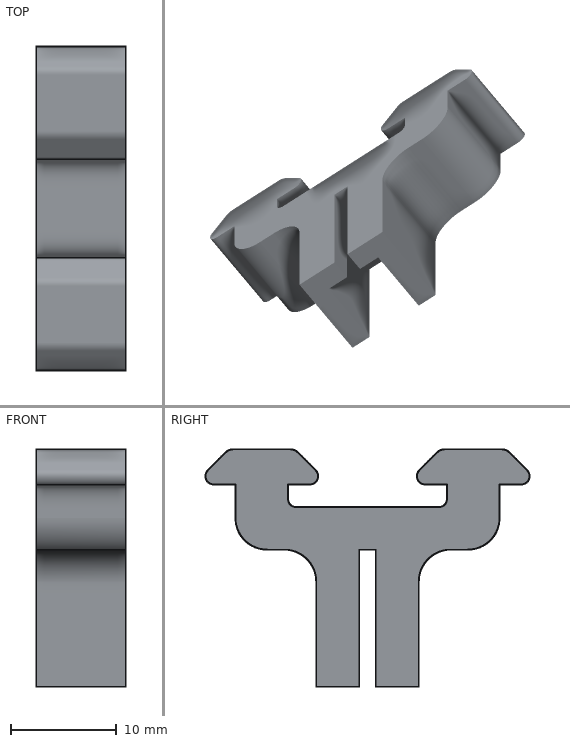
import cadquery as cq
import math

depth = 8.5
width = 30.7
height = 22.5

head_width = 10.7
head_height = 3.35
head_tip_radius = 0.8
head_top_radius = 1.0
head_offset = (width - head_width) / 2

stem_width = 5.0
bridge_top_drop = 5.47
bridge_bottom_drop = 9.52
bridge_top_radius = 0.75
bend_radius = 3.0

legs_outer_width = 9.75
legs_gap = 5.8
rib_gap = 1.55
rib_depth = 2.0

bridge_width = 2 * head_offset + stem_width
bridge_bottom = height - bridge_bottom_drop
bridge_top = height - bridge_top_drop
head_bottom = height - head_height


def block(y_size, z_low, z_high, x_size=depth):
    """Box centred on Y, with its back face on the +X side of the part."""
    return (
        cq.Workplane("XY")
        .box(x_size, y_size, z_high - z_low, centered=(False, True, False))
        .translate((depth / 2 - x_size, 0, z_low))
    )


def edges_at(y_position, z_position):
    """Selector for the edges along X at mirrored Y positions."""
    margin = 0.03
    boxes = [
        cq.selectors.BoxSelector(
            (-depth, y - margin, z_position - margin),
            (depth, y + margin, z_position + margin),
        )
        for y in (-y_position, y_position)
    ]
    return boxes[0] + boxes[1]


def hook_head(y_center):
    bottom_half = head_width / 2 + math.sqrt(2) * head_tip_radius
    top_half = bottom_half - head_height
    outline = [
        (-bottom_half, head_bottom),
        (bottom_half, head_bottom),
        (top_half, height),
        (-top_half, height),
    ]
    return (
        cq.Workplane("YZ")
        .polyline(outline)
        .close()
        .extrude(depth / 2, both=True)
        .edges(edges_at(bottom_half, head_bottom))
        .fillet(head_tip_radius)
        .edges(edges_at(top_half, height))
        .fillet(head_top_radius)
        .translate((0, y_center, 0))
    )


recess_width = bridge_width - 2 * stem_width
body = block(bridge_width, bridge_bottom, head_bottom)
body = body.cut(block(recess_width, bridge_top, head_bottom))
body = body.union(block(legs_outer_width, 0, bridge_bottom))
body = body.cut(block(legs_gap, 0, bridge_bottom))

body = body.edges(edges_at(bridge_width / 2, bridge_bottom)).fillet(bend_radius)
body = body.edges(edges_at(legs_outer_width / 2, bridge_bottom)).fillet(bend_radius)
body = body.edges(edges_at(recess_width / 2, bridge_top)).fillet(bridge_top_radius)

ribs = block(legs_gap, 0, bridge_bottom, rib_depth)
ribs = ribs.cut(block(rib_gap, 0, bridge_bottom, rib_depth))

result = body.union(ribs)
for side in (-1, 1):
    result = result.union(hook_head(side * head_offset))